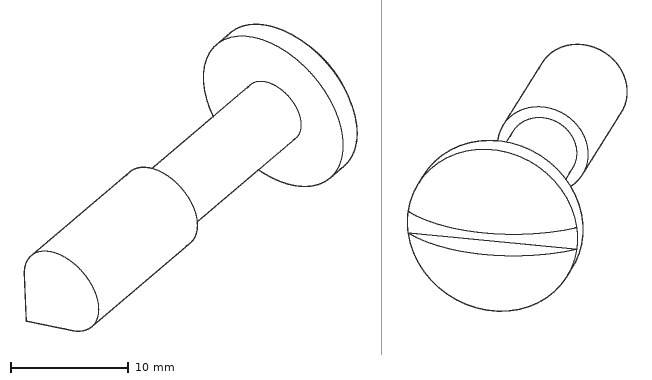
import cadquery as cq

total_length = 39.98
head_radius = 7.495
rim_thickness = 2.0
shank_radius = 3.0
shank_length = 16.0
body_radius = 4.0
body_length = 14.0
tip_length = 5.0
slot_width = 2.0

body_start = tip_length
shank_start = body_start + body_length
rim_start = shank_start + shank_length
dome_start = rim_start + rim_thickness

crown_height = total_length - dome_start
half_slot = slot_width / 2
dome_centre = dome_start + (crown_height**2 + half_slot**2 - head_radius**2) / (2 * crown_height)
dome_radius = ((dome_start - dome_centre)**2 + head_radius**2) ** 0.5
apex = dome_centre + dome_radius


def make_turned_blank():
    """Solid of revolution about Y: point, body, shank and domed head."""
    return (
        cq.Workplane("XY")
        .lineTo(body_radius, body_start)
        .lineTo(body_radius, shank_start)
        .lineTo(shank_radius, shank_start)
        .lineTo(shank_radius, rim_start)
        .lineTo(head_radius, rim_start)
        .lineTo(head_radius, dome_start)
        .radiusArc((0, apex), -dome_radius)
        .close()
        .revolve(360, (0, 0, 0), (0, 1, 0))
    )


def make_slot():
    """Driver slot running along X, cut through the dome down to the rim."""
    slot_depth = apex - dome_start
    return cq.Workplane("XY").box(
        2 * head_radius, slot_depth, slot_width, centered=(True, False, True)
    ).translate((0, dome_start, 0))


result = make_turned_blank().cut(make_slot())